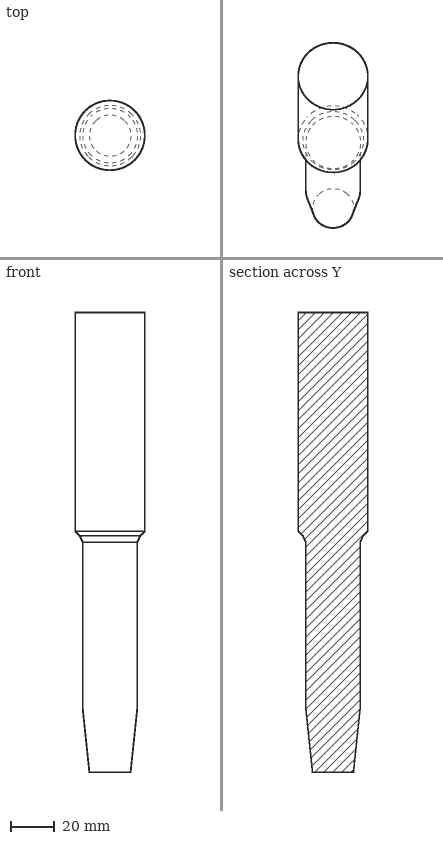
import cadquery as cq

total_length = 210.0
shank_diameter = 32.0
neck_diameter = 25.0
tip_diameter = 19.0

shank_length = 100.0
tip_taper_length = 29.0

shoulder_chamfer = 2.0
shoulder_cone_height = 3.0

shank_radius = shank_diameter / 2
neck_radius = neck_diameter / 2
tip_radius = tip_diameter / 2
shank_bottom = total_length - shank_length
chamfer_bottom = shank_bottom - shoulder_chamfer
neck_top = chamfer_bottom - shoulder_cone_height

profile = (
    cq.Workplane("XZ")
    .lineTo(tip_radius, 0)
    .lineTo(neck_radius, tip_taper_length)
    .lineTo(neck_radius, neck_top)
    .lineTo(shank_radius - shoulder_chamfer, chamfer_bottom)
    .lineTo(shank_radius, shank_bottom)
    .lineTo(shank_radius, total_length)
    .lineTo(0, total_length)
    .close()
)

result = profile.revolve(360, (0, 0, 0), (0, 1, 0))